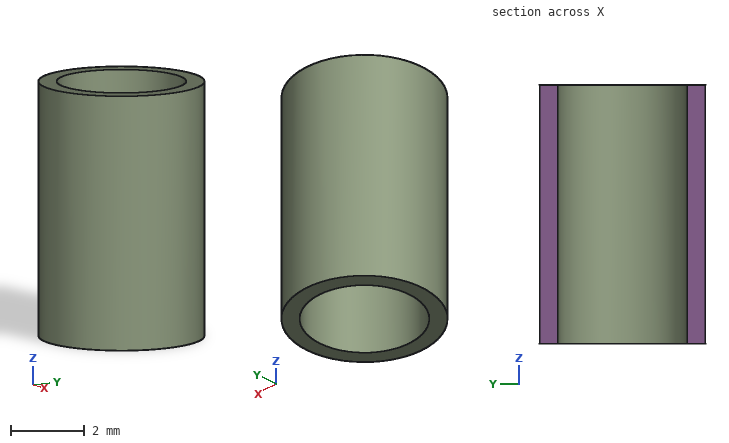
import cadquery as cq

length = 7.0
outer_diameter = 4.5
wall_thickness = 0.5
bore_diameter = outer_diameter - 2 * wall_thickness

result = (
    cq.Workplane("XY")
    .circle(outer_diameter / 2)
    .circle(bore_diameter / 2)
    .extrude(length)
)